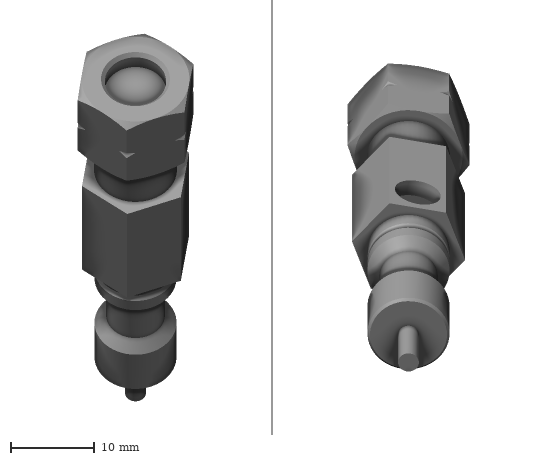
import cadquery as cq
import math

TOTAL_HEIGHT = 60.9
NUT_HEIGHT = 10.9
NECK_LENGTH = 6.6
BODY_LENGTH = 16.2
PIN_LENGTH = 6.75

NUT_BOTTOM = TOTAL_HEIGHT - NUT_HEIGHT
BODY_TOP = NUT_BOTTOM - NECK_LENGTH
BODY_BOTTOM = BODY_TOP - BODY_LENGTH

NUT_FLATS = 13.0
NUT_CORNER_ANGLE = 30.0
NUT_GROOVE_DIAMETER = 13.95
NUT_GROOVE_ANGLE = 45.0
BORE_DIAMETER = 7.4
BORE_DEPTH = 2.3
BORE_MOUTH_DIAMETER = 8.3

BODY_FLATS = 12.0
SIDE_HOLE_DIAMETER = 5.6
SIDE_HOLE_DEPTH = 2.1
SIDE_HOLE_BELOW_TOP = 29.9
SIDE_HOLE_DIRECTION = 210.0

NECK_DIAMETER = 10.0
COLLAR_DIAMETER = 9.85
COLLAR_UPPER_LENGTH = 2.0
COLLAR_LOWER_LENGTH = 1.75
COLLAR_GROOVE_WIDTH = 1.1
COLLAR_GROOVE_DEPTH = 0.4
STEM_DIAMETER = 7.05
STEM_LENGTH = 5.7
CONE_HEIGHT = 1.45
PLUG_DIAMETER = 9.85
PLUG_CHAMFER = 0.3
PIN_DIAMETER = 2.5


def hexagon(flats, bottom, height):
    """Hexagonal prism with corners on the X axis."""
    corners = flats / math.cos(math.radians(30))
    return cq.Workplane("XY").workplane(offset=bottom).polygon(6, corners).extrude(height)


def turned(profile):
    """Solid of revolution about Z from (radius, height) points."""
    return cq.Workplane("XZ").polyline(profile).close().revolve(360, (0, 0), (0, 1))


def make_nut():
    flat_radius = NUT_FLATS / 2
    corner_radius = flat_radius / math.cos(math.radians(30))
    chamfer_height = (corner_radius - flat_radius) * math.tan(math.radians(NUT_CORNER_ANGLE))
    groove_radius = NUT_GROOVE_DIAMETER / 2
    groove_half_width = (corner_radius - groove_radius) * math.tan(math.radians(NUT_GROOVE_ANGLE))
    middle = NUT_BOTTOM + NUT_HEIGHT / 2
    envelope = turned([
        (0, NUT_BOTTOM),
        (flat_radius, NUT_BOTTOM),
        (corner_radius, NUT_BOTTOM + chamfer_height),
        (corner_radius, middle - groove_half_width),
        (groove_radius, middle),
        (corner_radius, middle + groove_half_width),
        (corner_radius, TOTAL_HEIGHT - chamfer_height),
        (flat_radius, TOTAL_HEIGHT),
        (0, TOTAL_HEIGHT),
    ])
    bore_radius = BORE_DIAMETER / 2
    mouth_radius = BORE_MOUTH_DIAMETER / 2
    bore = turned([
        (0, TOTAL_HEIGHT - BORE_DEPTH),
        (bore_radius, TOTAL_HEIGHT - BORE_DEPTH),
        (bore_radius, TOTAL_HEIGHT - (mouth_radius - bore_radius)),
        (mouth_radius, TOTAL_HEIGHT),
        (0, TOTAL_HEIGHT),
    ])
    return hexagon(NUT_FLATS, NUT_BOTTOM, NUT_HEIGHT).intersect(envelope).cut(bore)


def make_body():
    angle = math.radians(SIDE_HOLE_DIRECTION)
    outward = cq.Vector(math.cos(angle), math.sin(angle), 0)
    floor_distance = BODY_FLATS / 2 - SIDE_HOLE_DEPTH
    floor_center = outward * floor_distance + cq.Vector(0, 0, TOTAL_HEIGHT - SIDE_HOLE_BELOW_TOP)
    hole = cq.Solid.makeCylinder(SIDE_HOLE_DIAMETER / 2, SIDE_HOLE_DEPTH, floor_center, outward)
    return hexagon(BODY_FLATS, BODY_BOTTOM, BODY_LENGTH).cut(cq.Workplane(hole))


def make_neck():
    return cq.Workplane("XY").workplane(offset=BODY_TOP).circle(NECK_DIAMETER / 2).extrude(NECK_LENGTH)


def make_lower_end():
    """Grooved collar, stem, plug and pin below the body."""
    collar_radius = COLLAR_DIAMETER / 2
    stem_radius = STEM_DIAMETER / 2
    plug_radius = PLUG_DIAMETER / 2
    pin_radius = PIN_DIAMETER / 2
    groove_top = BODY_BOTTOM - COLLAR_UPPER_LENGTH
    groove_bottom = groove_top - COLLAR_GROOVE_WIDTH
    collar_bottom = groove_bottom - COLLAR_LOWER_LENGTH
    stem_top = collar_bottom - CONE_HEIGHT
    stem_bottom = stem_top - STEM_LENGTH
    return turned([
        (0, BODY_BOTTOM),
        (collar_radius, BODY_BOTTOM),
        (collar_radius, groove_top),
        (collar_radius - COLLAR_GROOVE_DEPTH, groove_top - COLLAR_GROOVE_WIDTH / 2),
        (collar_radius, groove_bottom),
        (collar_radius, collar_bottom),
        (stem_radius, stem_top),
        (stem_radius, stem_bottom),
        (plug_radius, stem_bottom - CONE_HEIGHT),
        (plug_radius, PIN_LENGTH + PLUG_CHAMFER),
        (plug_radius - PLUG_CHAMFER, PIN_LENGTH),
        (pin_radius, PIN_LENGTH),
        (pin_radius, 0),
        (0, 0),
    ])


result = make_nut().union(make_neck()).union(make_body()).union(make_lower_end())